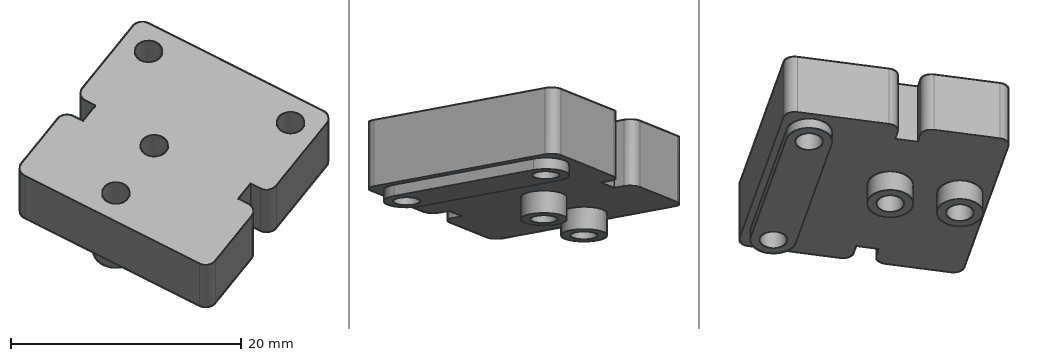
import cadquery as cq

side = 20.0
block_height = 6.0
corner_radius = 1.0

hole_diameter = 2.4
foot_diameter = 4.0
bar_height = 1.0
boss_height = 2.0
corner_hole_x = 7.32
row_offset = 7.35
hole_pitch = 6.2
boss_x = -1.3

notch_width = 2.0
notch_depth = 2.0

inner_boss_y = -row_offset + hole_pitch
boss_centers = [(boss_x, -row_offset), (boss_x, inner_boss_y)]
bar_hole_centers = [(-corner_hole_x, row_offset), (corner_hole_x, row_offset)]


def make_block():
    """Square block with two side notches and rounded outer corners."""
    block = cq.Workplane("XY").box(side, side, block_height, centered=(True, True, False))
    notch_centers = [(-side / 2, inner_boss_y), (side / 2, inner_boss_y)]
    notches = (
        cq.Workplane("XY")
        .pushPoints(notch_centers)
        .rect(2 * notch_depth, notch_width)
        .extrude(block_height)
    )
    return block.cut(notches).edges("|Z and (<X or >X)").fillet(corner_radius)


def make_bar():
    """Round-ended bar below the block, joining the two corner holes."""
    return (
        cq.Workplane("XY")
        .center(0, row_offset)
        .slot2D(2 * corner_hole_x + foot_diameter, foot_diameter)
        .extrude(-bar_height)
    )


def make_bosses():
    """Round bosses below the block."""
    return cq.Workplane("XY").pushPoints(boss_centers).circle(foot_diameter / 2).extrude(-boss_height)


def make_holes():
    """Through holes in the bar ends and bosses."""
    return (
        cq.Workplane("XY", origin=(0, 0, -boss_height))
        .pushPoints(bar_hole_centers + boss_centers)
        .circle(hole_diameter / 2)
        .extrude(boss_height + block_height)
    )


result = make_block().union(make_bar()).union(make_bosses()).cut(make_holes())